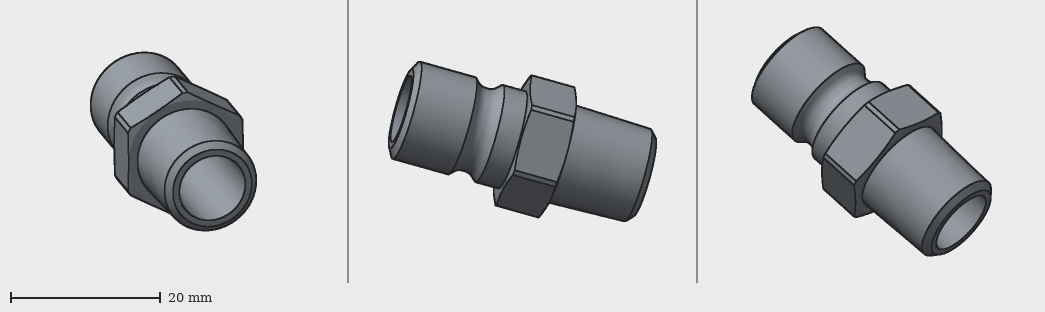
import cadquery as cq
import math


total_length = 34.0
hex_start = 15.5
hex_length = 6.5
hex_end = hex_start + hex_length

bore_diameter = 9.2
plug_diameter = 13.5
plug_tip_diameter = 11.0
plug_chamfer_angle = 30.0

groove_center = 10.4
groove_width = 3.85
groove_diameter = 11.5
groove_floor_width = 0.4
groove_wall_angle = 43.0

hex_sides = 6
hex_across_flats = 16.0
hex_turned_diameter = 18.05
hex_face_diameter = 15.95
hex_chamfer_angle = 15.0

taper_gauge_diameter = 13.157
taper_gauge_length = 6.0
taper_ratio = 1 / 16
taper_tip_diameter = 11.0
taper_chamfer_length = 0.9


def taper_radius(x):
    """Radius of the tapered end at position x."""
    gauge_plane = total_length - taper_gauge_length
    return (taper_gauge_diameter - taper_ratio * (x - gauge_plane)) / 2


def make_plug():
    """Cylindrical plug with a conical lead-in, running up to the hexagon."""
    radius = plug_diameter / 2
    tip_radius = plug_tip_diameter / 2
    chamfer_length = (radius - tip_radius) * math.tan(math.radians(plug_chamfer_angle))
    profile = (
        cq.Workplane("XY")
        .lineTo(0, tip_radius)
        .lineTo(chamfer_length, radius)
        .lineTo(hex_start, radius)
        .lineTo(hex_start, 0)
        .close()
    )
    return profile.revolve(360, (0, 0, 0), (1, 0, 0))


def make_groove():
    """Ring to remove: flat floor, a tangent arc on each side, then straight sloped walls."""
    wall = math.radians(groove_wall_angle)
    top_radius = plug_diameter / 2
    floor_radius = groove_diameter / 2
    depth = top_radius - floor_radius
    half_floor = groove_floor_width / 2
    half_width = groove_width / 2

    arc_radius = (half_width - half_floor - depth / math.tan(wall)) / math.tan(wall / 2)
    arc_end = half_floor + arc_radius * math.sin(wall)
    arc_end_radius = floor_radius + arc_radius * (1 - math.cos(wall))
    arc_middle = half_floor + arc_radius * math.sin(wall / 2)
    arc_middle_radius = floor_radius + arc_radius * (1 - math.cos(wall / 2))

    profile = (
        cq.Workplane("XY")
        .moveTo(groove_center - half_width, top_radius)
        .lineTo(groove_center - arc_end, arc_end_radius)
        .threePointArc(
            (groove_center - arc_middle, arc_middle_radius),
            (groove_center - half_floor, floor_radius),
        )
        .lineTo(groove_center + half_floor, floor_radius)
        .threePointArc(
            (groove_center + arc_middle, arc_middle_radius),
            (groove_center + arc_end, arc_end_radius),
        )
        .lineTo(groove_center + half_width, top_radius)
        .close()
    )
    return profile.revolve(360, (0, 0, 0), (1, 0, 0))


def make_hexagon():
    """Hexagon with flats facing +Y and -Y, turned down at the corners and at both ends."""
    across_corners = hex_across_flats / math.cos(math.pi / hex_sides)
    prism = (
        cq.Workplane("YZ", origin=(hex_start, 0, 0))
        .transformed(rotate=(0, 0, 90))
        .polygon(hex_sides, across_corners)
        .extrude(hex_length)
    )
    face_radius = hex_face_diameter / 2
    turned_radius = hex_turned_diameter / 2
    chamfer_length = (turned_radius - face_radius) * math.tan(math.radians(hex_chamfer_angle))
    turned_envelope = (
        cq.Workplane("XY")
        .moveTo(hex_start, 0)
        .lineTo(hex_start, face_radius)
        .lineTo(hex_start + chamfer_length, turned_radius)
        .lineTo(hex_end - chamfer_length, turned_radius)
        .lineTo(hex_end, face_radius)
        .lineTo(hex_end, 0)
        .close()
        .revolve(360, (0, 0, 0), (1, 0, 0))
    )
    return prism.intersect(turned_envelope)


def make_tapered_end():
    """Conical pipe-thread blank with a chamfered tip."""
    chamfer_start = total_length - taper_chamfer_length
    profile = (
        cq.Workplane("XY")
        .moveTo(hex_end, 0)
        .lineTo(hex_end, taper_radius(hex_end))
        .lineTo(chamfer_start, taper_radius(chamfer_start))
        .lineTo(total_length, taper_tip_diameter / 2)
        .lineTo(total_length, 0)
        .close()
    )
    return profile.revolve(360, (0, 0, 0), (1, 0, 0))


def make_bore():
    """Straight bore through the whole part."""
    return cq.Workplane("YZ").circle(bore_diameter / 2).extrude(total_length)


body = make_plug().union(make_hexagon()).union(make_tapered_end())
result = body.cut(make_groove()).cut(make_bore())